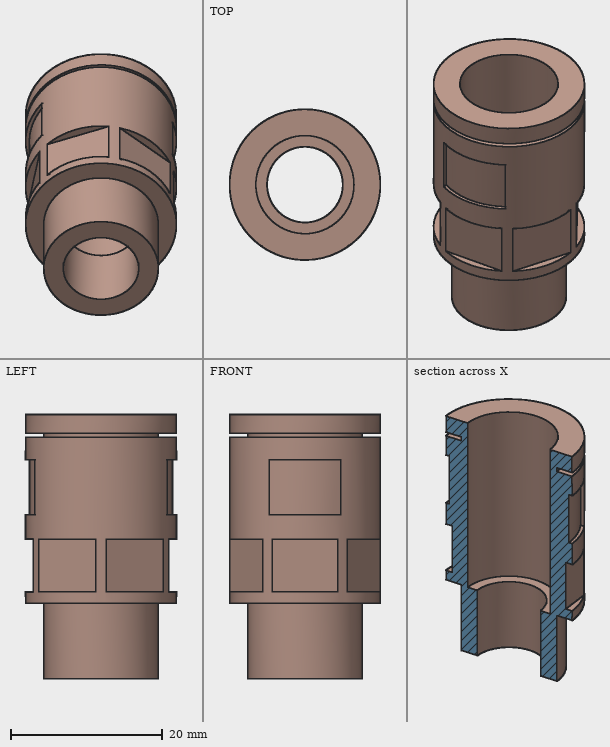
import cadquery as cq

total_height = 35.0
stub_length = 10.0
flats_bottom = 11.5
flats_height = 7.0
recess_bottom = 21.75
recess_height = 7.25
cap_thickness = 2.5
groove_width = 0.5

body_diameter = 20.0
neck_diameter = 15.2
bore_diameter = 10.0
socket_diameter = 13.0

flat_count = 6
across_flats = 18.0
flat_turn = 180 / flat_count
recess_width = 9.5
recess_depth = 0.5

cap_bottom = total_height - cap_thickness
groove_bottom = cap_bottom - groove_width
cutter_span = 2 * body_diameter


def cylinder(diameter, bottom, height):
    """Cylinder on the Z axis starting at the given height."""
    return cq.Workplane("XY").workplane(offset=bottom).circle(diameter / 2).extrude(height)


def outer_shape():
    """Neck over the full height, carrying the body and the cap."""
    neck = cylinder(neck_diameter, 0, total_height)
    body = cylinder(body_diameter, stub_length, groove_bottom - stub_length)
    cap = cylinder(body_diameter, cap_bottom, cap_thickness)
    return neck.union(body).union(cap)


def cut_wrench_flats(part):
    """Hexagonal flats, two of them facing -Y and +Y, in a band near the body's lower end."""
    band = cylinder(cutter_span, flats_bottom, flats_height)
    hexagon = (
        cq.Workplane("XY")
        .workplane(offset=flats_bottom)
        .polygon(flat_count, across_flats, circumscribed=True)
        .extrude(flats_height)
        .rotate((0, 0, 0), (0, 0, 1), flat_turn)
    )
    return part.cut(band.cut(hexagon))


def cut_side_recesses(part):
    """Shallow recesses on -Y and +Y with parallel side walls and a floor concentric with the body."""
    slab = (
        cq.Workplane("XY")
        .workplane(offset=recess_bottom)
        .rect(recess_width, cutter_span)
        .extrude(recess_height)
    )
    floor = cylinder(body_diameter - 2 * recess_depth, recess_bottom, recess_height)
    return part.cut(slab.cut(floor))


def cut_bores(part):
    """Through bore, widened to a socket from the cap down to the body's lower shoulder."""
    bore = cylinder(bore_diameter, 0, total_height)
    socket = cylinder(socket_diameter, stub_length, total_height - stub_length)
    return part.cut(bore).cut(socket)


part = outer_shape()
part = cut_wrench_flats(part)
part = cut_side_recesses(part)
result = cut_bores(part)